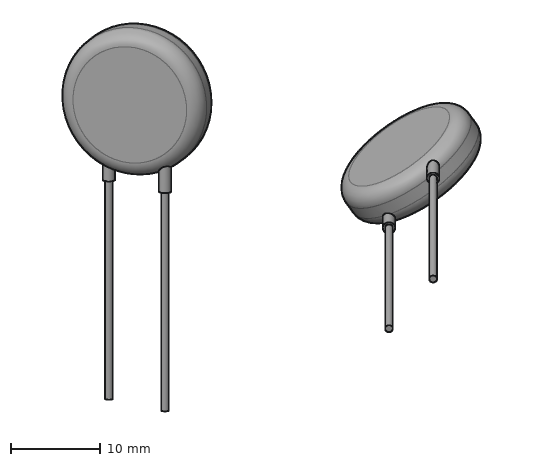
import cadquery as cq

total_height = 44.0
disc_diameter = 17.0
disc_thickness = 5.0
rim_fillet = 1.75

lead_diameter = 0.9
sleeve_diameter = 1.4
lead_pitch_x = 7.52
lead_pitch_y = 2.5
sleeve_bottom = 25.43

disc_radius = disc_diameter / 2
disc_center_z = total_height - disc_radius
buried_top = disc_center_z - disc_radius / 2


def make_disc():
    """Disc with its axis along Y and both rims rounded."""
    return (
        cq.Workplane("XZ", origin=(0, disc_thickness / 2, disc_center_z))
        .circle(disc_radius)
        .extrude(disc_thickness)
        .edges()
        .fillet(rim_fillet)
    )


def vertical_pin(x, y, diameter, bottom):
    """Round pin from the given height up into the disc."""
    return (
        cq.Workplane("XY", origin=(x, y, bottom))
        .circle(diameter / 2)
        .extrude(buried_top - bottom)
    )


result = make_disc()
for side in (-1, 1):
    x = side * lead_pitch_x / 2
    y = -side * lead_pitch_y / 2
    result = result.union(vertical_pin(x, y, lead_diameter, 0))
    result = result.union(vertical_pin(x, y, sleeve_diameter, sleeve_bottom))